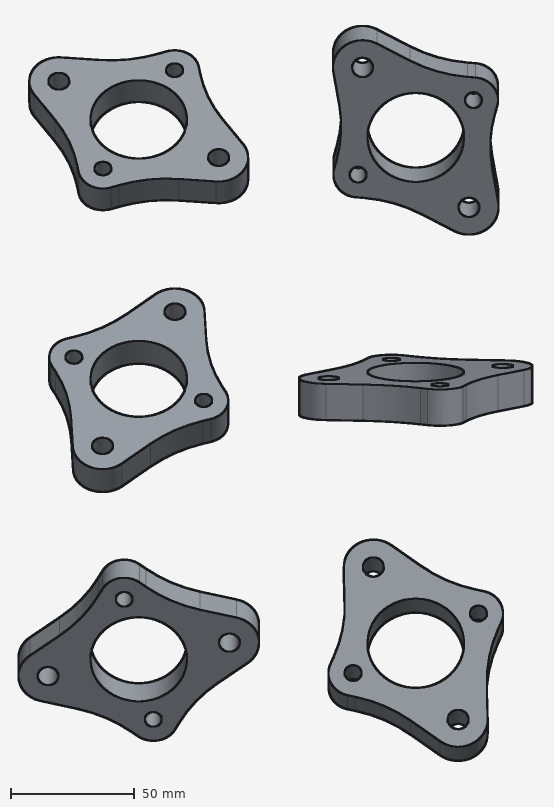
import cadquery as cq
import math

THICKNESS = 15.0
BORE_DIAMETER = 39.0
SIDE_HOLE_OFFSET = 37.5
SIDE_HOLE_DIAMETER = 8.4
SIDE_LOBE_RADIUS = 12.0
END_HOLE_OFFSET = 28.5
END_HOLE_DIAMETER = 6.8
END_LOBE_RADIUS = 10.0
WAIST_RADIUS = 58.0
SIDE_FLANK_ANGLE = 64.25
END_FLANK_ANGLE = 40.0


def along(start, angle, distance):
    """Point reached from start by going a distance in a direction given in degrees."""
    radians = math.radians(angle)
    return (start[0] + distance * math.cos(radians), start[1] + distance * math.sin(radians))


def waist_centre():
    """Centre of the first-quadrant waist arc, which is tangent to both straight flanks."""
    side_normal = along((0, 0), SIDE_FLANK_ANGLE, 1)
    end_normal = along((0, 0), END_FLANK_ANGLE, 1)
    side_distance = SIDE_HOLE_OFFSET * side_normal[0] + SIDE_LOBE_RADIUS + WAIST_RADIUS
    end_distance = END_HOLE_OFFSET * end_normal[1] + END_LOBE_RADIUS + WAIST_RADIUS
    determinant = side_normal[0] * end_normal[1] - side_normal[1] * end_normal[0]
    x = (side_distance * end_normal[1] - end_distance * side_normal[1]) / determinant
    y = (end_distance * side_normal[0] - side_distance * end_normal[0]) / determinant
    return (x, y)


def mirrored(point, x_sign, y_sign):
    return (x_sign * point[0], y_sign * point[1])


def plate():
    """Four-lobed plate: round lobes joined by straight flanks and concave waists."""
    side_lobe_end = along((SIDE_HOLE_OFFSET, 0), SIDE_FLANK_ANGLE, SIDE_LOBE_RADIUS)
    end_lobe_start = along((0, END_HOLE_OFFSET), END_FLANK_ANGLE, END_LOBE_RADIUS)
    centre = waist_centre()
    waist_start = along(centre, SIDE_FLANK_ANGLE, -WAIST_RADIUS)
    waist_middle = along(centre, (SIDE_FLANK_ANGLE + END_FLANK_ANGLE) / 2, -WAIST_RADIUS)
    waist_end = along(centre, END_FLANK_ANGLE, -WAIST_RADIUS)
    side_tip = (SIDE_HOLE_OFFSET + SIDE_LOBE_RADIUS, 0)
    end_tip = (0, END_HOLE_OFFSET + END_LOBE_RADIUS)

    outline = cq.Workplane("XY").moveTo(*mirrored(side_lobe_end, 1, -1))
    for sign in (1, -1):
        outline = outline.threePointArc(mirrored(side_tip, sign, sign), mirrored(side_lobe_end, sign, sign))
        outline = outline.lineTo(*mirrored(waist_start, sign, sign))
        outline = outline.threePointArc(mirrored(waist_middle, sign, sign), mirrored(waist_end, sign, sign))
        outline = outline.lineTo(*mirrored(end_lobe_start, sign, sign))
        outline = outline.threePointArc(mirrored(end_tip, sign, sign), mirrored(end_lobe_start, -sign, sign))
        outline = outline.lineTo(*mirrored(waist_end, -sign, sign))
        outline = outline.threePointArc(mirrored(waist_middle, -sign, sign), mirrored(waist_start, -sign, sign))
        outline = outline.lineTo(*mirrored(side_lobe_end, -sign, sign))
    return outline.close().extrude(THICKNESS)


def through_holes(centres, diameter):
    """Cylinders that cut through the full thickness of the plate."""
    return cq.Workplane("XY").pushPoints(centres).circle(diameter / 2).extrude(THICKNESS)


side_hole_centres = [(SIDE_HOLE_OFFSET, 0), (-SIDE_HOLE_OFFSET, 0)]
end_hole_centres = [(0, END_HOLE_OFFSET), (0, -END_HOLE_OFFSET)]

result = (
    plate()
    .cut(through_holes([(0, 0)], BORE_DIAMETER))
    .cut(through_holes(side_hole_centres, SIDE_HOLE_DIAMETER))
    .cut(through_holes(end_hole_centres, END_HOLE_DIAMETER))
)